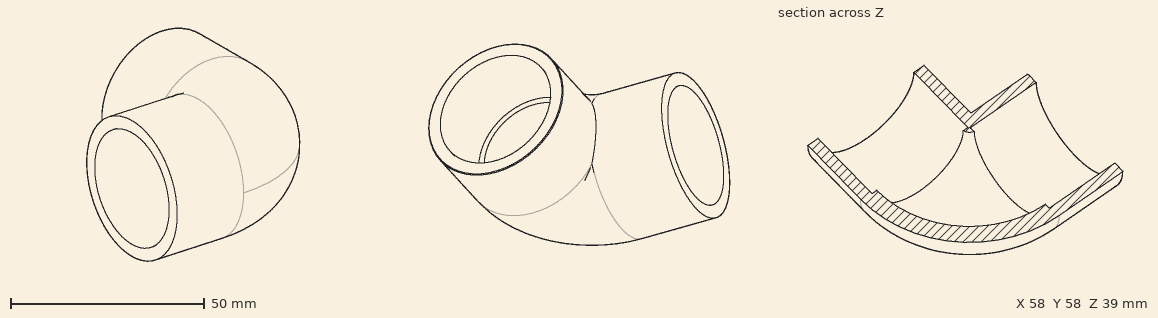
import math

import cadquery as cq

overall_length = 58.0
outer_diameter = 39.0
socket_diameter = 32.0
bore_diameter = 28.9
leg_length = 21.45
socket_depth = 22.0
rim_chamfer = 0.25

outer_radius = outer_diameter / 2
bend_radius = overall_length - leg_length - outer_radius
bend_angle = 90


def leg_along_x(diameter, start, end):
    """Cylinder in the leg toward -X, between two distances from the bend."""
    plane = cq.Workplane("YZ", origin=(-start, bend_radius, 0))
    return plane.circle(diameter / 2).extrude(start - end)


def leg_along_y(diameter, start, end):
    """Cylinder in the leg toward -Y, between two distances from the bend."""
    plane = cq.Workplane("XZ", origin=(bend_radius, -start, 0))
    return plane.circle(diameter / 2).extrude(end - start)


def outer_bend():
    """Bend wall; the round section crosses the turning axis, so it is cut off there."""
    half_chord = math.sqrt(outer_radius**2 - bend_radius**2)
    section = (
        cq.Workplane("XZ")
        .moveTo(0, -half_chord)
        .radiusArc((bend_radius + outer_radius, 0), -outer_radius)
        .radiusArc((0, half_chord), -outer_radius)
        .close()
    )
    return section.revolve(bend_angle, (0, 0, 0), (0, 1, 0))


def bend_bore():
    """Round passage through the bend."""
    section = cq.Workplane("XZ").center(bend_radius, 0).circle(bore_diameter / 2)
    return section.revolve(bend_angle, (-bend_radius, 0, 0), (-bend_radius, 1, 0))


chamfered_leg = leg_along_x(outer_diameter, 0, leg_length).faces("<X").chamfer(rim_chamfer)
plain_leg = leg_along_y(outer_diameter, 0, leg_length)
body = outer_bend().union(chamfered_leg).union(plain_leg)

body = body.cut(bend_bore())
for leg in (leg_along_x, leg_along_y):
    body = body.cut(leg(socket_diameter, leg_length - socket_depth, leg_length))

result = body